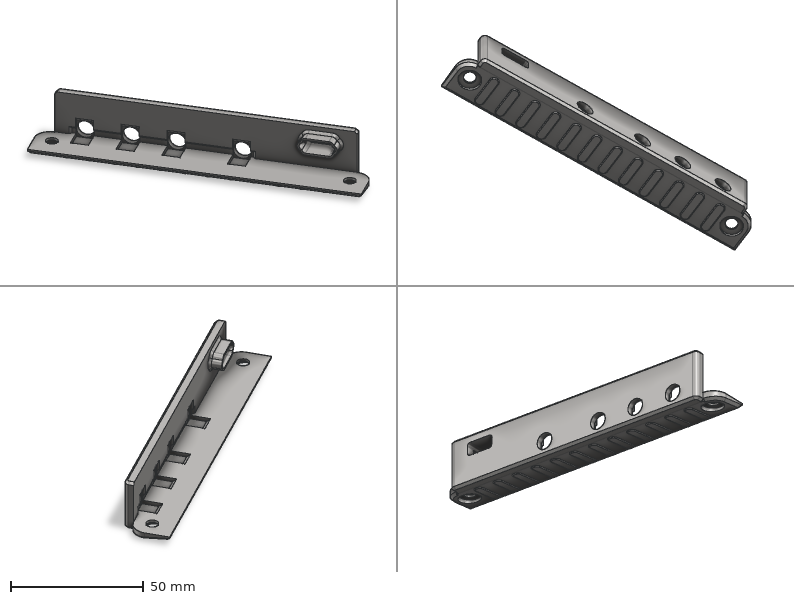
import cadquery as cq
import math


flange_length = 131.0
flange_reach = 16.1
flange_root_thickness = 3.8
flange_front_thickness = 1.8
flange_chamfer = 1.2
flange_corner_radius = 6.2

wall_length = flange_length - 2 * flange_corner_radius
wall_thickness = 3.9
wall_rise = 17.3
wall_corner_radius = 2.0
wall_chamfer = 1.0

underside_slope = (flange_root_thickness - flange_front_thickness) / flange_reach

screw_x = 58.4
screw_y = -7.1
screw_diameter = 4.8
screw_head_diameter = 8.9
screw_seat_depth = 1.0

ridge_count = 12
ridge_pitch = 9.2
ridge_width = 3.9
ridge_length = 14.1
ridge_height = 0.4
ridge_wall_gap = 0.7

window_centers = (-47.7, -29.7, -11.8, 13.9)
window_width = 7.1
window_height = 7.1
window_wall_depth = 1.5
window_reach = 6.8
window_floor_depth = 1.6
window_hole_diameter = 7.0
window_hole_z = 2.1

recess_start = -53.7
recess_end = 19.4
recess_height = 3.1
recess_depth = 0.98

sleeve_x = 45.0
sleeve_drop = 6.4
sleeve_z = wall_rise - sleeve_drop
sleeve_length = 5.1
sleeve_thickness = 0.8
sleeve_flare = 1.0
bore_width = 11.8
bore_height = 5.5
bore_corner_radius = 1.3
bore_lobe_width = 14.1
bore_lobe_height = 2.9


def make_wall():
    height = wall_rise + flange_root_thickness
    wall = (
        cq.Workplane("XY", origin=(0, wall_thickness / 2, -flange_root_thickness))
        .box(wall_length, wall_thickness, height, centered=(True, True, False))
        .edges("|Z and >Y")
        .fillet(wall_corner_radius)
    )
    for end_face in (">Z", "<Z"):
        wall = wall.faces(end_face).edges("not <Y").chamfer(wall_chamfer)
    return wall


def make_wedge(length, reach):
    """Prism with a flat top whose sloped underside rises forward from the foot of the wall."""
    return (
        cq.Workplane("YZ", origin=(-length / 2, 0, 0))
        .lineTo(-reach, 0)
        .lineTo(-reach, reach * underside_slope - flange_root_thickness)
        .lineTo(0, -flange_root_thickness)
        .close()
        .extrude(length)
    )


def make_flange():
    """Wedge bevelled all round its underside, with a root strip that keeps the wall joint full depth."""
    flange = make_wedge(flange_length, flange_reach).edges("|Z and >Y").fillet(flange_corner_radius)
    flange = flange.faces("<Z").chamfer(flange_chamfer)
    return flange.union(make_wedge(wall_length, flange_chamfer))


def make_ridges():
    """Low ridges with rounded ends and bevelled sides on the sloped underside."""
    tilt = math.atan(underside_slope)
    underside = cq.Plane(
        origin=(0, 0, -flange_root_thickness),
        xDir=(0, -math.cos(tilt), math.sin(tilt)),
        normal=(0, -math.sin(tilt), -math.cos(tilt)),
    )
    first = -(ridge_count - 1) / 2 * ridge_pitch
    places = [(ridge_wall_gap + ridge_length / 2, first + i * ridge_pitch) for i in range(ridge_count)]
    return (
        cq.Workplane(underside)
        .pushPoints(places)
        .slot2D(ridge_length, ridge_width)
        .extrude(ridge_height, taper=45)
    )


def make_screw_cut():
    places = [(-screw_x, screw_y), (screw_x, screw_y)]
    shank = cq.Workplane("XY").pushPoints(places).circle(screw_diameter / 2).extrude(-flange_root_thickness)
    head = (
        cq.Workplane("XY", origin=(0, 0, -screw_seat_depth))
        .pushPoints(places)
        .circle(screw_head_diameter / 2)
        .extrude(-flange_root_thickness)
    )
    return shank.union(head)


def make_window_cut(center):
    pocket = (
        cq.Workplane("YZ", origin=(center - window_width / 2, 0, 0))
        .moveTo(-window_reach, 0)
        .lineTo(window_floor_depth - window_reach, -window_floor_depth)
        .lineTo(window_wall_depth, -window_floor_depth)
        .lineTo(window_wall_depth, window_height - window_wall_depth)
        .lineTo(0, window_height)
        .lineTo(0, 0)
        .close()
        .extrude(window_width)
    )
    hole = (
        cq.Workplane("XZ", origin=(center, 0, window_hole_z))
        .circle(window_hole_diameter / 2)
        .extrude(-wall_thickness)
    )
    return pocket.union(hole)


def make_recess_cut():
    """Recess with bevelled top and ends; the tapered lower half is trimmed off at the flange top."""
    length = recess_end - recess_start
    recess = (
        cq.Workplane("XZ", origin=((recess_start + recess_end) / 2, 0, 0))
        .rect(length, 2 * recess_height)
        .extrude(-recess_depth, taper=45)
    )
    above_flange = cq.Workplane("XY").box(
        2 * flange_length, 2 * wall_thickness, wall_rise, centered=(True, True, False)
    )
    return recess.intersect(above_flange)


def sleeve_plane(y):
    return cq.Workplane("XZ", origin=(sleeve_x, y, sleeve_z))


def main_block(growth, y, depth, taper=0):
    """Rounded rectangle extruded forward from y."""
    outline = (
        cq.Sketch()
        .rect(bore_width + 2 * growth, bore_height + 2 * growth)
        .vertices()
        .fillet(bore_corner_radius + growth)
    )
    return sleeve_plane(y).placeSketch(outline).extrude(depth, taper=taper)


def sleeve_body(growth, depth, taper=0):
    """Main block and round-ended lobes, grown outward from the bore outline."""
    lobes = (
        sleeve_plane(0)
        .slot2D(bore_lobe_width + 2 * growth, bore_lobe_height + 2 * growth)
        .extrude(depth, taper=taper)
    )
    return main_block(growth, 0, depth, taper).union(lobes)


def make_sleeve():
    tube = sleeve_body(sleeve_thickness, sleeve_length)
    flare = sleeve_body(sleeve_thickness + sleeve_flare, sleeve_flare, taper=45)
    return tube.union(flare)


def make_bore_cut():
    opening = main_block(0, wall_thickness, wall_thickness)
    return sleeve_body(0, sleeve_length).union(opening)


result = make_wall().union(make_flange()).union(make_ridges()).union(make_sleeve())
result = result.cut(make_screw_cut()).cut(make_recess_cut()).cut(make_bore_cut())
for window_center in window_centers:
    result = result.cut(make_window_cut(window_center))